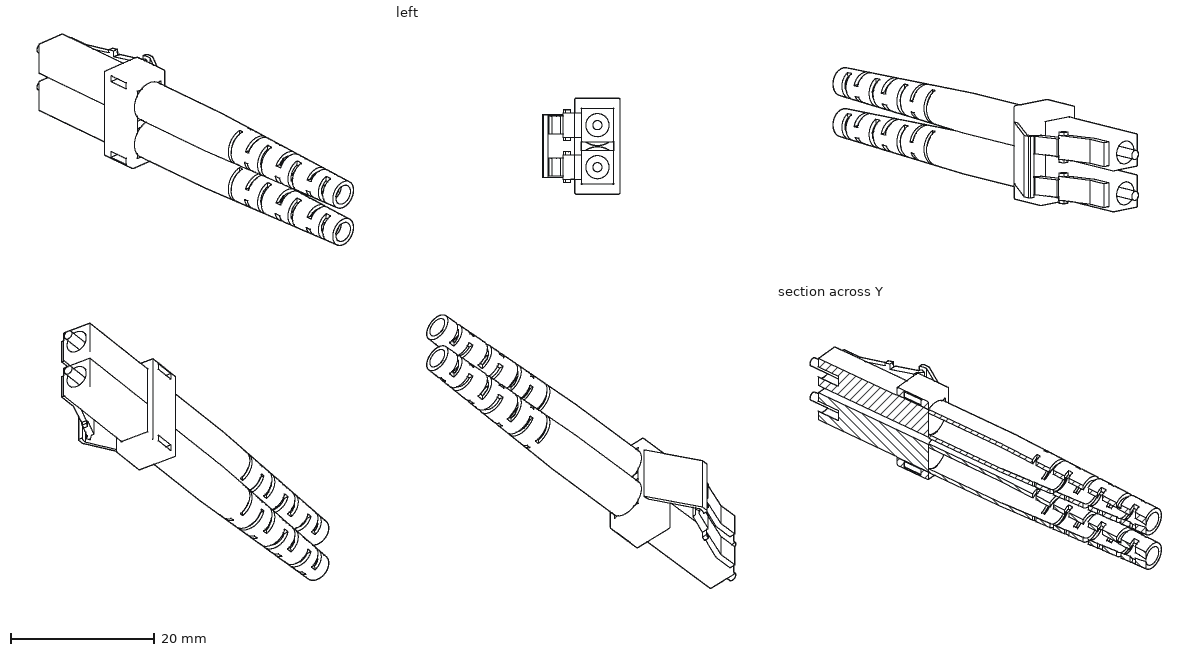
import cadquery as cq

TOTAL_LENGTH = 61.2
CHANNEL_PITCH = 5.9
CHANNEL_HEIGHTS = [-CHANNEL_PITCH / 2, CHANNEL_PITCH / 2]

CLIP_FRONT = 16.3
CLIP_REAR = 22.05
CLIP_DEPTH = 6.35
CLIP_HEIGHT = 13.45
CLIP_FILLET = 0.275
CLIP_TOP = CLIP_DEPTH / 2

POCKET_FRONT = 17.6
POCKET_LENGTH = 3.0
POCKET_HEIGHT = 0.9
POCKET_EDGE_GAP = 0.3
POCKET_DEPTH = 1.85

LEVER_WIDTH = 8.8
LEVER_THICKNESS = 0.55
LEVER_TIP_X = 13.5
LEVER_BEND_X = 14.7
LEVER_TOP = 7.7
LEVER_LIP = 0.8
LEVER_TIP_BEVEL = 0.2
LEVER_ROOT_FRONT = 21.05
LEVER_ROOT_REAR = 21.85

HOUSING_FRONT = 2.1
HOUSING_DEPTH = 4.5
HOUSING_HEIGHT = 4.7
HOUSING_FILLET = 0.15
HOUSING_TOP = HOUSING_DEPTH / 2
BORE_DIAMETER = 3.25
BORE_LENGTH = 3.7
FERRULE_DIAMETER = 1.3

LATCH_WIDTH = 3.4
LATCH_FRONT = 3.0
LATCH_BEND_X = 5.9
LATCH_BASE_THICKNESS = 0.9
LATCH_ARM_THICKNESS = 0.8
LATCH_SLOPE = 0.37
CROSSBAR_WIDTH = 4.35
CROSSBAR_START_X = 9.9
CROSSBAR_THICKNESS = 0.75
PAD_WIDTH = 2.5
PAD_START_X = 10.65
PAD_END_X = 13.9
PAD_THICKNESS = 1.1
FINGER_TIP = (14.2, 6.8)
FINGER_CORNER = (14.8, 6.5)
FINGER_NOTCH = (14.0, 5.75)

BOOT_STRAIGHT_END = 35.1
BOOT_DIAMETER = 5.75
BOOT_END_DIAMETER = 4.05
BOOT_WALL = 0.6

BRIDGE_WIDTH = 1.6
SLOT_TILT = -7.0
SLOTS_OPEN_TO_Z = [(44.2, 0.55), (50.3, 0.85), (56.3, 0.75)]
SLOTS_OPEN_TO_Y = [(41.1, 0.55), (46.9, 0.75), (52.9, 0.85), (58.8, 0.85)]


def block(x_start, x_end, depth, height, y=0.0, z=0.0):
    """Box spanning x_start to x_end, centred on y and z."""
    middle = (x_start + x_end) / 2
    return cq.Workplane("XY").box(x_end - x_start, depth, height).translate((middle, y, z))


def plate(points, width):
    """Polygon in X and Y, given a width along Z centred on Z = 0."""
    return cq.Workplane("XY").polyline(points).close().extrude(width / 2, both=True)


def round_block(body, edges, radius):
    """Fillet the given edges except the one where the -X and -Y faces meet."""
    sharp = body.faces("<X").edges("<Y").val()
    rounded = [edge for edge in edges.vals() if not edge.isSame(sharp)]
    return body.newObject(rounded).fillet(radius)


def make_lever():
    inner = LEVER_TOP - LEVER_THICKNESS
    lip_end = LEVER_TOP - LEVER_LIP
    root = CLIP_TOP - CLIP_FILLET
    return (
        cq.Workplane("XY")
        .moveTo(LEVER_TIP_X, LEVER_TOP - LEVER_TIP_BEVEL)
        .lineTo(LEVER_TIP_X + LEVER_TIP_BEVEL, LEVER_TOP)
        .lineTo(LEVER_BEND_X, LEVER_TOP)
        .lineTo(LEVER_ROOT_REAR, CLIP_TOP)
        .lineTo(LEVER_ROOT_REAR, root)
        .lineTo(LEVER_ROOT_FRONT, root)
        .lineTo(LEVER_ROOT_FRONT, CLIP_TOP)
        .lineTo(LEVER_BEND_X, inner)
        .threePointArc(((LEVER_TIP_X + LEVER_BEND_X) / 2, inner), (LEVER_TIP_X, lip_end))
        .close()
        .extrude(LEVER_WIDTH / 2, both=True)
    )


def make_clip():
    body = block(CLIP_FRONT, CLIP_REAR, CLIP_DEPTH, CLIP_HEIGHT)
    clip = round_block(body, body.edges(), CLIP_FILLET)
    clip = clip.cut(block(CLIP_FRONT, CLIP_REAR, HOUSING_DEPTH, CHANNEL_PITCH + HOUSING_HEIGHT))

    pocket_y = POCKET_DEPTH / 2 - CLIP_TOP
    pocket_z = (CLIP_HEIGHT - POCKET_HEIGHT) / 2 - POCKET_EDGE_GAP
    pocket_rear = POCKET_FRONT + POCKET_LENGTH
    for z in (-pocket_z, pocket_z):
        clip = clip.cut(block(POCKET_FRONT, pocket_rear, POCKET_DEPTH, POCKET_HEIGHT, pocket_y, z))
    return clip.union(make_lever())


def latch_underside(x):
    """Height in Y of the underside of the sloping latch arm at x."""
    return HOUSING_TOP + LATCH_SLOPE * (x - LATCH_BEND_X)


def make_latch():
    base_top = HOUSING_TOP + LATCH_BASE_THICKNESS
    arm_end = latch_underside(PAD_START_X)
    arm = plate(
        [
            (LATCH_FRONT, HOUSING_TOP),
            (LATCH_FRONT, base_top),
            (LATCH_BEND_X, base_top),
            (PAD_START_X, arm_end + LATCH_ARM_THICKNESS),
            (PAD_START_X, arm_end),
            (LATCH_BEND_X, HOUSING_TOP),
        ],
        LATCH_WIDTH,
    )
    crossbar_start = latch_underside(CROSSBAR_START_X)
    crossbar = plate(
        [
            (CROSSBAR_START_X, crossbar_start),
            (CROSSBAR_START_X, crossbar_start + CROSSBAR_THICKNESS),
            (PAD_START_X, arm_end + CROSSBAR_THICKNESS),
            (PAD_START_X, arm_end),
        ],
        CROSSBAR_WIDTH,
    )
    pad_end = latch_underside(PAD_END_X)
    pad = plate(
        [
            (PAD_START_X, arm_end),
            (PAD_START_X, arm_end + PAD_THICKNESS),
            (PAD_END_X, pad_end + PAD_THICKNESS),
            FINGER_TIP,
            FINGER_CORNER,
            FINGER_NOTCH,
            (PAD_END_X, pad_end),
        ],
        PAD_WIDTH,
    )
    return arm.union(crossbar).union(pad)


def make_housing(z):
    body = block(HOUSING_FRONT, CLIP_REAR, HOUSING_DEPTH, HOUSING_HEIGHT)
    housing = round_block(body, body.edges("not(>X)"), HOUSING_FILLET)
    bore_end = HOUSING_FRONT + BORE_LENGTH
    bore = cq.Workplane("YZ", origin=(HOUSING_FRONT, 0, 0)).circle(BORE_DIAMETER / 2).extrude(BORE_LENGTH)
    ferrule = cq.Workplane("YZ").circle(FERRULE_DIAMETER / 2).extrude(bore_end)
    return housing.cut(bore).union(ferrule).union(make_latch()).translate((0, 0, z))


def cut_slot_pairs(boot, slots, turn):
    """Cut both sides of the boot, leaving bridges; turn rotates the cuts about the axis."""
    offset = (BOOT_DIAMETER + BRIDGE_WIDTH) / 2
    for x, width in slots:
        for y in (-offset, offset):
            cutter = block(x - width / 2, x + width / 2, BOOT_DIAMETER, BOOT_DIAMETER, y)
            boot = boot.cut(cutter.rotate((0, 0, 0), (1, 0, 0), turn))
    return boot


def make_boot(z):
    radius = BOOT_DIAMETER / 2
    end_radius = BOOT_END_DIAMETER / 2
    profile = [
        (CLIP_REAR, radius),
        (BOOT_STRAIGHT_END, radius),
        (TOTAL_LENGTH, end_radius),
        (TOTAL_LENGTH, end_radius - BOOT_WALL),
        (BOOT_STRAIGHT_END, radius - BOOT_WALL),
        (CLIP_REAR, radius - BOOT_WALL),
    ]
    boot = cq.Workplane("XZ").polyline(profile).close().revolve(360, (0, 0, 0), (1, 0, 0))
    boot = cut_slot_pairs(boot, SLOTS_OPEN_TO_Y, 0)
    boot = cut_slot_pairs(boot, SLOTS_OPEN_TO_Z, 90)
    return boot.rotate((0, 0, 0), (1, 0, 0), SLOT_TILT).translate((0, 0, z))


clip = make_clip()
housings = [make_housing(z) for z in CHANNEL_HEIGHTS]
boots = [make_boot(z) for z in CHANNEL_HEIGHTS]
result = cq.Compound.makeCompound([
    clip.val(),
    *[housing.val() for housing in housings],
    *[boot.val() for boot in boots],
])